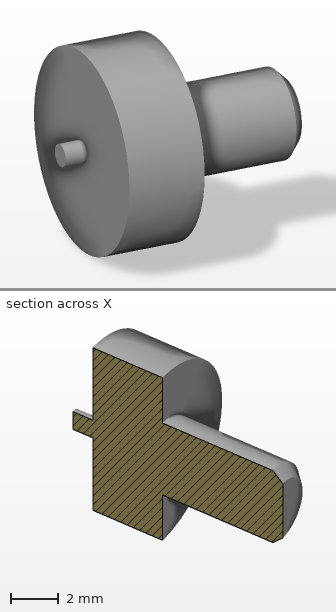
import cadquery as cq

head_diameter = 9.0
head_length = 3.5

shank_diameter = 4.0
shank_length = 6.0
shank_chamfer = 0.5

pin_diameter = 1.0
pin_length = 1.0

head_front_y = 0.0
head_back_y = head_front_y + head_length


def cylinder_along_y(diameter, start_y, length):
    """Cylinder centred on the Y axis, running from start_y toward +Y."""
    base = cq.Workplane("XZ", origin=(0, start_y, 0))
    return base.circle(diameter / 2).extrude(-length)


def make_shank():
    shank = cylinder_along_y(shank_diameter, head_back_y, shank_length)
    return shank.faces(">Y").chamfer(shank_chamfer)


head = cylinder_along_y(head_diameter, head_front_y, head_length)
pin = cylinder_along_y(pin_diameter, head_front_y - pin_length, pin_length)

result = head.union(make_shank()).union(pin)